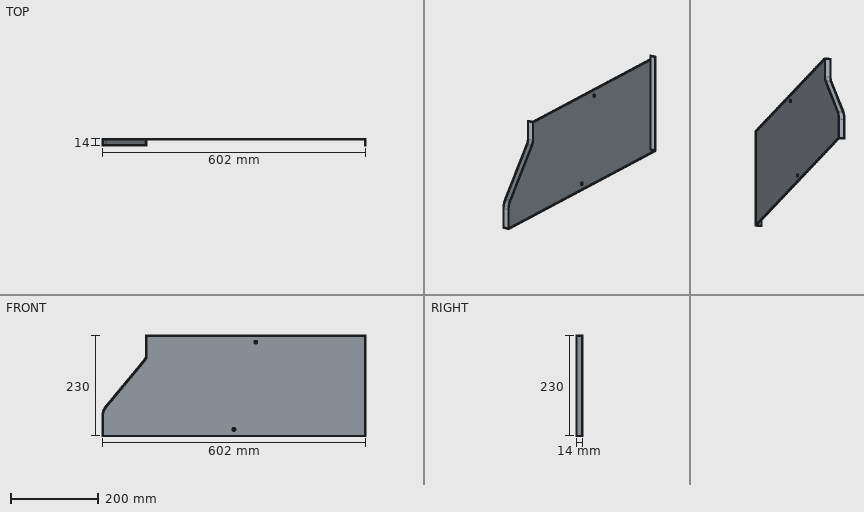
import cadquery as cq
import math

thickness = 0.8
overall_length = 602.0
panel_height = 230.0
flange_depth = 14.0
panel_length = overall_length - 2 * thickness

step_width = 100.0
step_rise = 120.4
lower_corner_z = 58.1
upper_corner_z = lower_corner_z + step_rise
lower_bend_radius = 31.6
upper_bend_radius = 18.4

hole_diameter = 5.0
hole_edge_distance = 15.0
lower_hole_x = 300.0
upper_hole_x = 350.0

slope_angle = math.atan2(step_width, step_rise)


def bend_points(corner_x, corner_z, radius, side):
    """Start, middle and end of a bend, going up; side is +1 when its centre lies towards +X, else -1."""
    setback = radius * math.tan(slope_angle / 2)
    center_x = corner_x + side * radius
    center_z = corner_z - side * setback
    angles = [0, slope_angle / 2, slope_angle][::side]
    return [
        (center_x - side * radius * math.cos(angle), center_z + side * radius * math.sin(angle))
        for angle in angles
    ]


def outline_slab(offset, depth):
    """Slab with the panel outline, its left and right edges moved outwards by offset."""
    corner_lift = offset * math.tan(slope_angle / 2)
    step_x = step_width - offset
    right_x = panel_length + offset
    lower_bend = bend_points(-offset, lower_corner_z + corner_lift, lower_bend_radius + offset, 1)
    upper_bend = bend_points(step_x, upper_corner_z + corner_lift, upper_bend_radius - offset, -1)
    return (
        cq.Workplane("XZ")
        .moveTo(-offset, 0)
        .lineTo(*lower_bend[0])
        .threePointArc(*lower_bend[1:])
        .lineTo(*upper_bend[0])
        .threePointArc(*upper_bend[1:])
        .lineTo(step_x, panel_height)
        .lineTo(right_x, panel_height)
        .lineTo(right_x, 0)
        .close()
        .extrude(depth)
    )


def folded_sheet():
    """Panel at the +Y side, with flanges along the left and right edges pointing to -Y."""
    interior = outline_slab(0, flange_depth).translate((0, -thickness, 0))
    return outline_slab(thickness, flange_depth).cut(interior)


def mounting_holes():
    """Cutters for the two holes through the panel."""
    lower_hole = (lower_hole_x, hole_edge_distance)
    upper_hole = (upper_hole_x, panel_height - hole_edge_distance)
    return (
        cq.Workplane("XZ")
        .pushPoints([lower_hole, upper_hole])
        .circle(hole_diameter / 2)
        .extrude(thickness)
    )


result = folded_sheet().cut(mounting_holes())